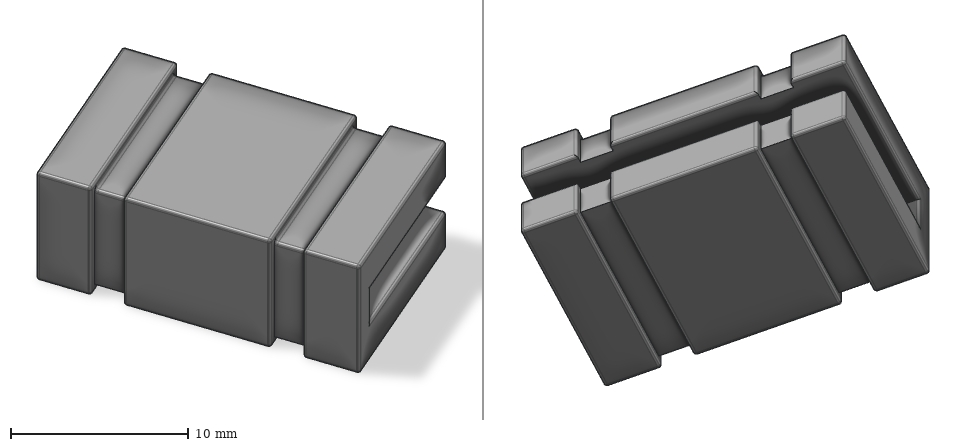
import cadquery as cq

length = 20.0
width = 12.0
height = 8.0

slot_height = 2.5
slot_depth = 10.5

groove_width = 2.0
groove_depth = 0.5
left_ridge_length = 3.4
middle_ridge_length = 9.1
left_groove_centre = -length / 2 + left_ridge_length + groove_width / 2
groove_spacing = middle_ridge_length + groove_width
groove_centres = (left_groove_centre, left_groove_centre + groove_spacing)

core_width = width - 2 * groove_depth
core_height = height - 2 * groove_depth

edge_radius = 0.2


def make_slot():
    """Through slot that leaves a solid wall on the -Y side."""
    slot_centre_y = (width - slot_depth) / 2
    slot = cq.Workplane("XY").box(length, slot_depth, slot_height)
    return slot.translate((0, slot_centre_y, 0))


def make_groove_space():
    """Full section of the block over the length of one groove."""
    return cq.Workplane("XY").box(groove_width, width, height)


def make_groove_ring():
    """Rectangular ring that cuts a groove around all four long sides."""
    return make_groove_space().cut(cq.Workplane("XY").box(groove_width, core_width, core_height))


def round_ridges(body):
    """Round every edge on the outer envelope of the three full-size ridges."""
    ridge_edges = []
    for selector in (">X", "<X", ">Y", "<Y", ">Z", "<Z"):
        ridge_edges += body.faces(selector).edges().vals()
    return body.newObject(ridge_edges).fillet(edge_radius)


def make_groove_core():
    """Core inside a groove: its top curves up into both walls and is rounded along both sides.

    The rounding follows a channel with walls thicker than the radius; the walls are then cut away.
    """
    wall_thickness = 2 * edge_radius
    channel_floor_z = core_height / 2
    channel_depth = 2 * groove_depth
    half_width = groove_width / 2
    outer_half_width = half_width + wall_thickness
    channel_top_z = channel_floor_z + channel_depth
    channel = (
        cq.Workplane("XZ")
        .moveTo(-outer_half_width, -core_height / 2)
        .lineTo(outer_half_width, -core_height / 2)
        .lineTo(outer_half_width, channel_top_z)
        .lineTo(half_width, channel_top_z)
        .lineTo(half_width, channel_floor_z + edge_radius)
        .radiusArc((half_width - edge_radius, channel_floor_z), edge_radius)
        .lineTo(-half_width + edge_radius, channel_floor_z)
        .radiusArc((-half_width, channel_floor_z + edge_radius), edge_radius)
        .lineTo(-half_width, channel_top_z)
        .lineTo(-outer_half_width, channel_top_z)
        .close()
        .extrude(core_width / 2, both=True)
    )
    for side in (-1, 1):
        floor_edge = cq.selectors.NearestToPointSelector((0, side * core_width / 2, channel_floor_z))
        channel = channel.edges(floor_edge).fillet(edge_radius)
    return channel.intersect(make_groove_space())


slot = make_slot()
body = cq.Workplane("XY").box(length, width, height).cut(slot)
for centre_x in groove_centres:
    body = body.cut(make_groove_ring().translate((centre_x, 0, 0)))
body = round_ridges(body)

for centre_x in groove_centres:
    core = make_groove_core().translate((centre_x, 0, 0)).cut(slot)
    body = body.cut(make_groove_space().translate((centre_x, 0, 0))).union(core)
result = body